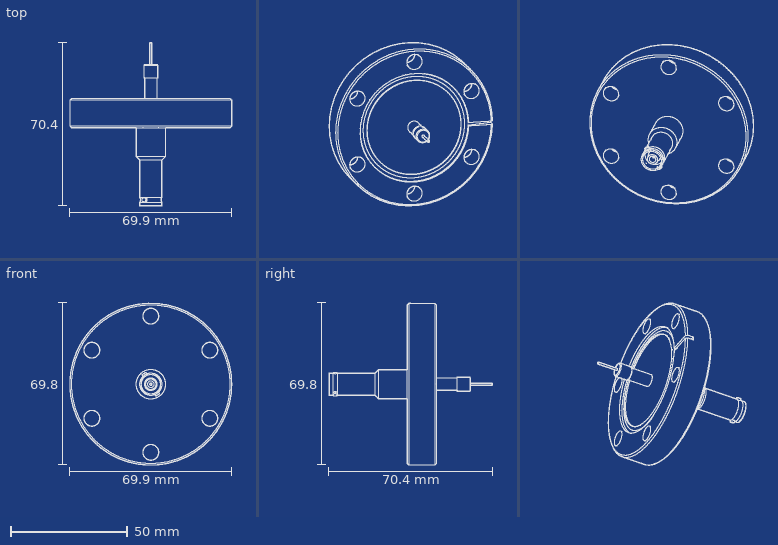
import cadquery as cq
import math


overall_length = 70.38

flange_diameter = 69.85
flange_thickness = 12.7
flange_chamfer = 0.75

bolt_count = 6
bolt_circle_diameter = 58.7
bolt_hole_diameter = 6.7

recess_diameter = 48.3
recess_depth = 1.2
knife_tip_diameter = 41.9
knife_height = 0.6
knife_slope = 20.0
groove_width = 1.5
groove_depth_at_rim = 3.6

body_diameter = 12.7
body_length = 12.3
barrel_diameter = 9.6
connector_length = 33.6
socket_diameter = 8.3
socket_depth = 5.0

neck_width = 2.1
neck_depth = 0.3
neck_center = 31.0
stud_diameter = 2.0
stud_reach = 5.5
stud_angle = 123.0

insulator_base_diameter = 5.4
insulator_tip_diameter = 4.5
insulator_setback = 0.9
insulator_bore_diameter = 2.8
insulator_bore_depth = 5.0

stem_diameter = 5.4
stem_length = 8.9
collar_diameter = 6.1
collar_length = 5.8
collar_chamfer = 0.4

pin_diameter = 1.0
pin_tip_bevel_width = 0.12
pin_tip_bevel_length = 0.4
contact_length = 2.5

flange_rear = flange_thickness
recess_floor = flange_rear - recess_depth
connector_front = -connector_length
socket_floor = connector_front + socket_depth
insulator_tip = connector_front + insulator_setback
insulator_bore_floor = insulator_tip + insulator_bore_depth
collar_start = flange_rear + stem_length
collar_end = collar_start + collar_length
pin_rear = connector_front + overall_length


def rod(diameter, start, end):
    """Cylinder on the Y axis between two stations."""
    return cq.Workplane("XZ", origin=(0, start, 0)).circle(diameter / 2).extrude(start - end)


def cone(start_diameter, start, end_diameter, end):
    """Truncated cone on the Y axis between two stations."""
    outline = [(0, start), (start_diameter / 2, start), (end_diameter / 2, end), (0, end)]
    return cq.Workplane("XY").polyline(outline).close().revolve(360, (0, 0), (0, 1))


def make_flange():
    flange = rod(flange_diameter, 0, flange_rear).edges().chamfer(flange_chamfer)
    flange = flange.cut(rod(recess_diameter, recess_floor, flange_rear))
    flange = flange.union(make_knife_edge())
    bolt_holes = (
        cq.Workplane("XZ")
        .polarArray(bolt_circle_diameter / 2, 90, 360, bolt_count)
        .circle(bolt_hole_diameter / 2)
        .extrude(-flange_thickness)
    )
    return flange.cut(bolt_holes).cut(make_leak_groove())


def make_knife_edge():
    """Sealing ring in the recess: upright on its inside, sloping on its outside."""
    tip_radius = knife_tip_diameter / 2
    slope_width = knife_height / math.tan(math.radians(knife_slope))
    outline = [
        (tip_radius, recess_floor),
        (tip_radius, recess_floor + knife_height),
        (tip_radius + slope_width, recess_floor),
    ]
    return cq.Workplane("XY").polyline(outline).close().revolve(360, (0, 0), (0, 1))


def make_leak_groove():
    """Sloping groove on the -X side, from the rim up to the floor of the gasket recess."""
    rim_x = -flange_diameter / 2
    recess_x = -math.sqrt((recess_diameter / 2) ** 2 - (groove_width / 2) ** 2)
    outline = [
        (rim_x, flange_rear),
        (rim_x, flange_rear - groove_depth_at_rim),
        (recess_x, recess_floor),
        (recess_x, flange_rear),
    ]
    return cq.Workplane("XY").polyline(outline).close().extrude(groove_width / 2, both=True)


def make_neck():
    """Ring of circular-arc section that hollows the barrel behind its front lip."""
    barrel_radius = barrel_diameter / 2
    front = -neck_center - neck_width / 2
    rear = -neck_center + neck_width / 2
    return (
        cq.Workplane("XY")
        .moveTo(barrel_radius, front)
        .threePointArc((barrel_radius - neck_depth, -neck_center), (barrel_radius, rear))
        .close()
        .revolve(360, (0, 0), (0, 1))
    )


def make_stud(angle):
    """Bayonet stud standing radially out of the neck."""
    direction = cq.Vector(math.cos(math.radians(angle)), 0, math.sin(math.radians(angle)))
    root_radius = (socket_diameter + barrel_diameter) / 4
    root = direction * root_radius + cq.Vector(0, -neck_center, 0)
    return cq.Solid.makeCylinder(stud_diameter / 2, stud_reach - root_radius, root, direction)


def make_connector():
    taper_length = (body_diameter - barrel_diameter) / 2
    taper_front = -body_length - taper_length
    connector = rod(body_diameter, -body_length, 0)
    connector = connector.union(cone(barrel_diameter, taper_front, body_diameter, -body_length))
    connector = connector.union(rod(barrel_diameter, connector_front, taper_front))
    connector = connector.cut(make_neck())
    for angle in (stud_angle, stud_angle + 180):
        connector = connector.union(make_stud(angle))
    connector = connector.cut(rod(socket_diameter, connector_front, socket_floor))
    connector = connector.union(
        cone(insulator_tip_diameter, insulator_tip, insulator_base_diameter, socket_floor)
    )
    connector = connector.cut(rod(insulator_bore_diameter, insulator_tip, insulator_bore_floor))
    contact_tip = insulator_bore_floor - contact_length
    contact = rod(pin_diameter, contact_tip, insulator_bore_floor)
    return connector.union(contact.faces("<Y").chamfer(pin_tip_bevel_length, pin_tip_bevel_width))


def make_feedthrough():
    stem = rod(stem_diameter, recess_floor, collar_start)
    collar = rod(collar_diameter, collar_start, collar_end).faces(">Y").chamfer(collar_chamfer)
    pin = rod(pin_diameter, collar_end, pin_rear)
    pin = pin.faces(">Y").chamfer(pin_tip_bevel_length, pin_tip_bevel_width)
    return stem.union(collar).union(pin)


result = make_flange().union(make_connector()).union(make_feedthrough())